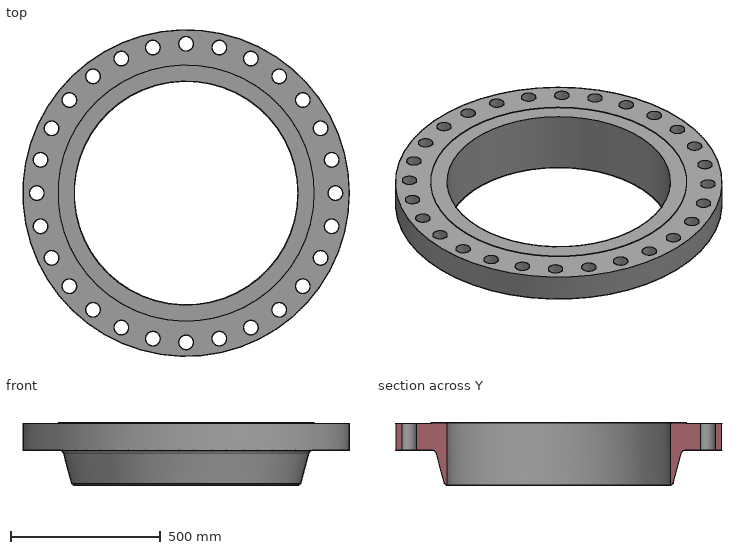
import cadquery as cq

flange_diameter = 1092.0
total_height = 210.0
bore_diameter = 747.0

flange_thickness = 91.0
face_diameter = 856.0
face_height = 2.0

hub_root_radius = 413.0
hub_end_radius = 383.0
bevel_height = 7.0
weld_land = 2.0
root_fillet = 14.0

bolt_count = 28
bolt_circle_diameter = 998.0
bolt_hole_diameter = 48.0

flange_radius = flange_diameter / 2
face_radius = face_diameter / 2
bore_radius = bore_diameter / 2
flange_top = total_height - face_height
flange_bottom = flange_top - flange_thickness


def revolved_body():
    """Hub, flange and raised face, revolved about Z from the weld end at Z = 0."""
    profile = (
        cq.Workplane("XZ")
        .moveTo(bore_radius, 0)
        .lineTo(bore_radius + weld_land, 0)
        .lineTo(hub_end_radius, bevel_height)
        .lineTo(hub_root_radius, flange_bottom)
        .lineTo(flange_radius, flange_bottom)
        .lineTo(flange_radius, flange_top)
        .lineTo(face_radius, flange_top)
        .lineTo(face_radius, total_height)
        .lineTo(bore_radius, total_height)
        .close()
    )
    return profile.revolve(360, (0, 0, 0), (0, 1, 0))


def fillet_hub_root(body):
    """Round the inside corner where the hub meets the flange underside."""
    reach = hub_root_radius + root_fillet
    near_root = cq.selectors.BoxSelector(
        (-reach, -reach, flange_bottom - root_fillet),
        (reach, reach, flange_bottom + root_fillet),
        boundingbox=True,
    )
    return body.edges("%CIRCLE").edges(near_root).edges(">Z").fillet(root_fillet)


def bolt_holes():
    """Cutters for the ring of through holes, with one hole on the X axis."""
    return (
        cq.Workplane("XY")
        .workplane(offset=flange_bottom)
        .polarArray(bolt_circle_diameter / 2, 0, 360, bolt_count)
        .circle(bolt_hole_diameter / 2)
        .extrude(flange_thickness)
    )


result = fillet_hub_root(revolved_body()).cut(bolt_holes())